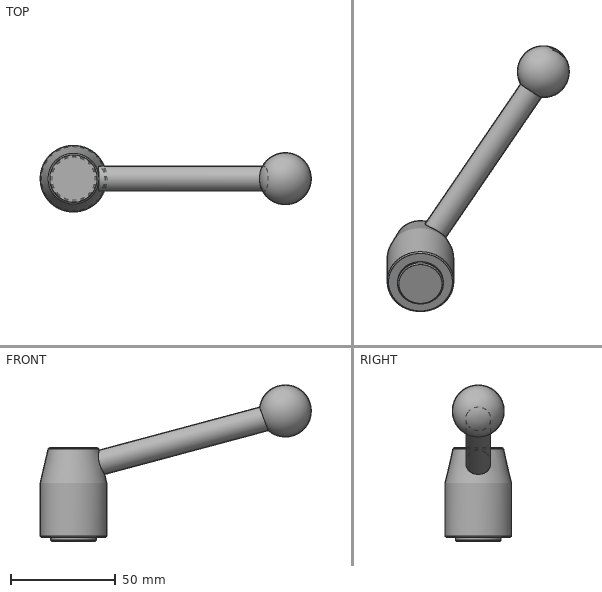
import cadquery as cq
import math

hub_diameter = 32.0
hub_top_diameter = 24.0
collar_diameter = 22.0
collar_height = 2.0
shoulder_z = 28.0
hub_top_z = 45.0
edge_chamfer = 0.6

overall_length = 130.0
overall_height = 75.0
rod_diameter = 12.0
rod_angle = 15.0
rod_drop = 1.0
ball_diameter = 25.0

hub_radius = hub_diameter / 2
ball_radius = ball_diameter / 2
ball_x = overall_length - hub_radius - ball_radius
ball_z = overall_height - ball_radius
rod_length = ball_x / math.cos(math.radians(rod_angle))


def make_hub():
    collar = cq.Workplane("XY").circle(collar_diameter / 2).extrude(shoulder_z)
    collar = collar.faces("<Z").chamfer(edge_chamfer)
    body = (
        cq.Workplane("XY", origin=(0, 0, collar_height))
        .circle(hub_radius)
        .extrude(shoulder_z - collar_height)
        .faces("<Z")
        .chamfer(edge_chamfer)
    )
    taper = (
        cq.Workplane("XY", origin=(0, 0, shoulder_z))
        .circle(hub_radius)
        .workplane(offset=hub_top_z - shoulder_z)
        .circle(hub_top_diameter / 2)
        .loft()
        .faces(">Z")
        .chamfer(edge_chamfer)
    )
    return body.union(taper).union(collar)


def make_lever():
    slope = math.radians(rod_angle)
    ball_centre = cq.Vector(ball_x, 0, ball_z)
    rod_start = cq.Vector(ball_x, 0, ball_z - rod_drop)
    toward_hub = cq.Vector(-math.cos(slope), 0, -math.sin(slope))
    rod = cq.Solid.makeCylinder(rod_diameter / 2, rod_length, rod_start, toward_hub)
    ball = cq.Workplane("XY").sphere(ball_radius).translate(ball_centre)
    return ball.union(cq.Workplane(rod))


result = make_hub().union(make_lever())